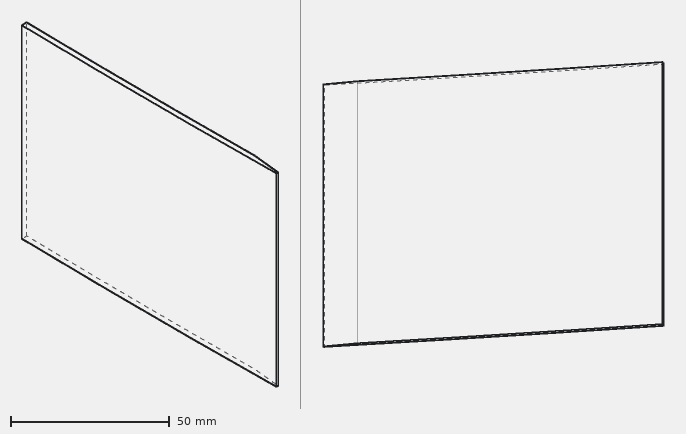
import cadquery as cq
import math

length = 107.7
depth = 24.0
height = 86.0
thickness = 2.2
tip_width = 0.8
bevel_length = 11.3
front_radius = 3661.5

chord_angle = math.atan2(depth - tip_width, length)
half_sweep = math.asin(math.hypot(length, depth - tip_width) / 2 / front_radius)
start_angle = chord_angle - half_sweep
front_start = (thickness * math.sin(start_angle), 0.0)
front_end = (length, depth - tip_width)

center_x = front_start[0] - front_radius * math.sin(start_angle)
center_y = front_start[1] + front_radius * math.cos(start_angle)
back_radius = front_radius - thickness


def bow_point(radius, x):
    """Point at x on the face arc of the given radius."""
    return (x, center_y - math.sqrt(radius**2 - (x - center_x) ** 2))


back_start = bow_point(back_radius, 0.0)
bevel_start = bow_point(back_radius, length - bevel_length)
bevel_end = (length, depth)

result = (
    cq.Workplane("XY")
    .moveTo(*front_start)
    .threePointArc(bow_point(front_radius, length / 2), front_end)
    .lineTo(*bevel_end)
    .lineTo(*bevel_start)
    .threePointArc(bow_point(back_radius, length / 2), back_start)
    .close()
    .extrude(height)
)